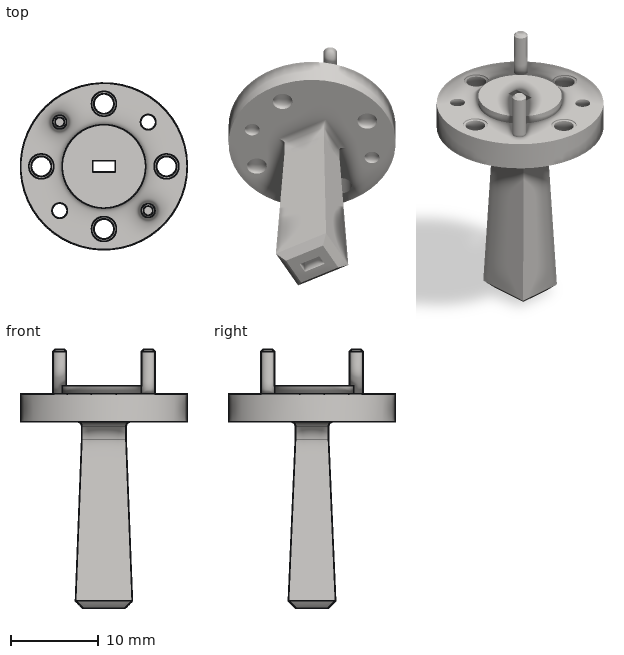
import cadquery as cq
import math

FLANGE_DIAMETER = 19.05
FLANGE_THICKNESS = 3.175
BOSS_DIAMETER = 9.53
BOSS_HEIGHT = 0.95

PITCH_RADIUS = 14.29 / 2
SCREW_ANGLES = (0, 90, 180, 270)
ALIGNMENT_HOLE_ANGLES = (45, 225)
PIN_ANGLES = (135, 315)
SCREW_HOLE_DIAMETER = 2.26
COUNTERBORE_DIAMETER = 2.84
COUNTERBORE_DEPTH = 0.13
ALIGNMENT_HOLE_DIAMETER = 1.70
PIN_DIAMETER = 1.56
PIN_HEIGHT = 5.08
PIN_CHAMFER = 0.25

BORE_WIDTH = 2.54
BORE_HEIGHT = 1.27

TOTAL_HEIGHT = 29.54
NECK_WALL = 1.27
NECK_X = BORE_WIDTH + 2 * NECK_WALL
NECK_Y = BORE_HEIGHT + 2 * NECK_WALL
NECK_LENGTH = 2.0
NECK_FILLET = 0.51
MOUTH_X = 6.5
MOUTH_Y = 5.4
TIP_BEVEL = 0.85

FLANGE_BOTTOM = -FLANGE_THICKNESS
NECK_BOTTOM = FLANGE_BOTTOM - NECK_LENGTH
TIP_BOTTOM = PIN_HEIGHT - TOTAL_HEIGHT
MOUTH_LEVEL = TIP_BOTTOM + TIP_BEVEL


def pitch_points(angles):
    """Points on the pitch circle at the given angles in degrees."""
    return [
        (PITCH_RADIUS * math.cos(math.radians(a)), PITCH_RADIUS * math.sin(math.radians(a)))
        for a in angles
    ]


def tapered_block(top_level, top_size, bottom_level, bottom_size):
    """Solid between two centred rectangles at different heights."""
    return (
        cq.Workplane("XY", origin=(0, 0, bottom_level))
        .rect(*bottom_size)
        .workplane(offset=top_level - bottom_level)
        .rect(*top_size)
        .loft(ruled=True)
    )


def make_flange_with_neck():
    """Disc with a raised centre boss and a neck filleted into its underside."""
    disc = cq.Workplane("XY").circle(FLANGE_DIAMETER / 2).extrude(-FLANGE_THICKNESS)
    boss = cq.Workplane("XY").circle(BOSS_DIAMETER / 2).extrude(BOSS_HEIGHT)
    neck = (
        cq.Workplane("XY", origin=(0, 0, FLANGE_BOTTOM))
        .rect(NECK_X, NECK_Y)
        .extrude(-NECK_LENGTH)
    )
    root_edges = cq.selectors.BoxSelector(
        (-NECK_X, -NECK_Y, FLANGE_BOTTOM - NECK_FILLET / 2),
        (NECK_X, NECK_Y, FLANGE_BOTTOM + NECK_FILLET / 2),
    )
    joined = disc.union(neck)
    filleted = joined.edges(root_edges).edges("%LINE").fillet(NECK_FILLET)
    return filleted.union(boss)


def make_horn():
    """Flared body below the neck, closed by a 45 degree bevel at the tip."""
    mouth = (MOUTH_X, MOUTH_Y)
    tip = (MOUTH_X - 2 * TIP_BEVEL, MOUTH_Y - 2 * TIP_BEVEL)
    flare = tapered_block(NECK_BOTTOM, (NECK_X, NECK_Y), MOUTH_LEVEL, mouth)
    bevel = tapered_block(MOUTH_LEVEL, mouth, TIP_BOTTOM, tip)
    return flare.union(bevel)


def make_pins():
    """Two opposite dowel pins with chamfered ends."""
    return (
        cq.Workplane("XY", origin=(0, 0, FLANGE_BOTTOM))
        .pushPoints(pitch_points(PIN_ANGLES))
        .circle(PIN_DIAMETER / 2)
        .extrude(FLANGE_THICKNESS + PIN_HEIGHT)
        .faces(">Z")
        .edges()
        .chamfer(PIN_CHAMFER)
    )


def cut_flange_holes(body):
    """Four counterbored screw holes and two plain alignment holes."""
    mating_face = cq.Workplane("XY")
    alignment_holes = (
        mating_face.pushPoints(pitch_points(ALIGNMENT_HOLE_ANGLES))
        .circle(ALIGNMENT_HOLE_DIAMETER / 2)
        .extrude(-FLANGE_THICKNESS)
    )
    return (
        body.cut(alignment_holes)
        .copyWorkplane(mating_face)
        .pushPoints(pitch_points(SCREW_ANGLES))
        .cboreHole(SCREW_HOLE_DIAMETER, COUNTERBORE_DIAMETER, COUNTERBORE_DEPTH)
    )


def cut_bore(body):
    """Straight waveguide passage from the boss face to the horn tip."""
    bore = (
        cq.Workplane("XY", origin=(0, 0, TIP_BOTTOM))
        .rect(BORE_WIDTH, BORE_HEIGHT)
        .extrude(BOSS_HEIGHT - TIP_BOTTOM)
    )
    return body.cut(bore)


body = make_flange_with_neck().union(make_horn())
body = cut_flange_holes(body).union(make_pins())
result = cut_bore(body)